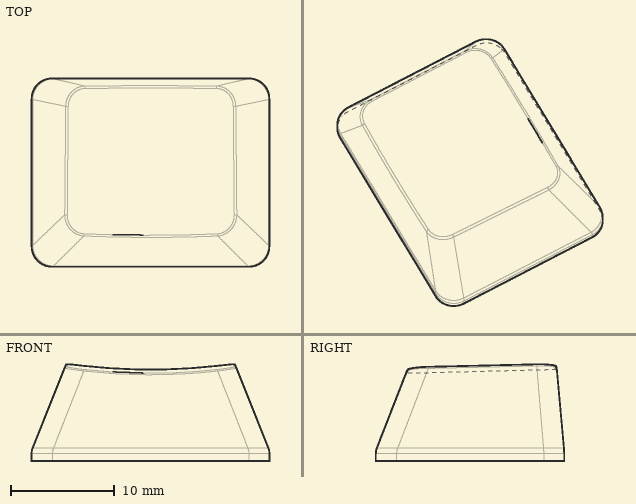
import cadquery as cq

length = 22.92
width = 18.15
base_corner_radius = 2.0
blank_corner_radius = 1.93

skirt_height = 0.75
bend_height = 1.25
blank_height = 11.0
dish_bottom = 8.62

side_slope = 0.4
front_slope = 0.39
back_slope = 0.09

dish_radius = 57.3
dish_tilt = 1.4
top_edge_radius = 0.23


def sloped_run(z):
    """Rise that a unit-slope wall has turned into inward run by height z.

    The wall leaves the skirt upright and turns in along a parabola that is
    tangent to the straight slope at the top of the bend.
    """
    bend_rise = bend_height - skirt_height
    if z < bend_height:
        return (z - skirt_height) ** 2 / (2 * bend_rise)
    return bend_rise / 2 + z - bend_height


def section(z):
    """Rounded rectangular cross-section of the blank at height z."""
    run = sloped_run(z)
    taper = max(0, z - bend_height) / (blank_height - bend_height)
    corner_radius = base_corner_radius + taper * (blank_corner_radius - base_corner_radius)
    outline = cq.Sketch().rect(
        length - 2 * side_slope * run,
        width - (front_slope + back_slope) * run,
    )
    outline = outline.vertices().fillet(corner_radius)
    y_center = (front_slope - back_slope) * run / 2
    return outline.moved(cq.Location(cq.Vector(0, y_center, z)))


def make_blank():
    """Straight skirt, curved bend and sloped walls, stacked."""
    bend_middle = (skirt_height + bend_height) / 2
    skirt = cq.Workplane("XY").placeSketch(section(skirt_height)).extrude(-skirt_height)
    bend = (
        cq.Workplane("XY")
        .placeSketch(section(skirt_height), section(bend_middle), section(bend_height))
        .loft()
    )
    slopes = (
        cq.Workplane("XY")
        .placeSketch(section(bend_height), section(blank_height))
        .loft(ruled=True)
    )
    return skirt.union(bend).union(slopes)


def make_dish():
    """Large cylinder, tilted about X, that hollows the top."""
    return (
        cq.Workplane("XZ")
        .circle(dish_radius)
        .extrude(width, both=True)
        .translate((0, 0, dish_radius + dish_bottom))
        .rotate((0, 0, dish_bottom), (1, 0, dish_bottom), dish_tilt)
    )


cap = make_blank().cut(make_dish())

result = cap.faces(">Z").edges().fillet(top_edge_radius)